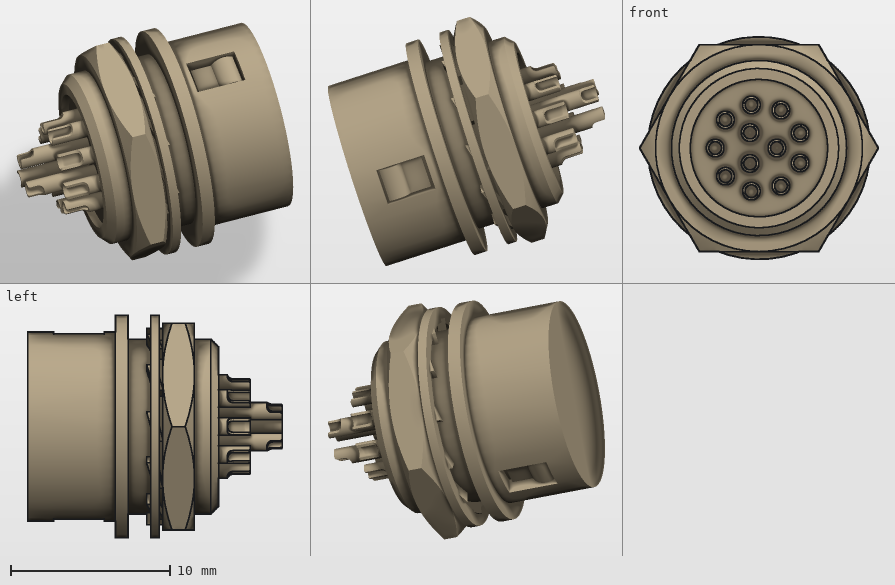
import cadquery as cq
import math


SHELL_DIAMETER = 11.9
SHELL_LENGTH = 5.5
FLANGE_DIAMETER = 14.0
FLANGE_THICKNESS = 0.8
SHELL_FRONT = FLANGE_THICKNESS + SHELL_LENGTH

BARREL_DIAMETER = 11.0
BARREL_LENGTH = 5.7
BARREL_CHAMFER = 0.5
RECESS_DIAMETER = 8.64
RECESS_DEPTH = 0.5

WINDOW_WIDTH = 2.34
WINDOW_LENGTH = 3.17
WINDOW_SETBACK = 1.63
WINDOW_FLOOR_RADIUS = 4.96
LATCH_WIDTH = 2.05
LATCH_LENGTH = 2.75
LATCH_SETBACK = 1.8
LATCH_FACE_HEIGHT = 5.17
LATCH_EMBED = 0.32
BUMP_LENGTH = 1.4
BUMP_RADIUS = 0.96
BUMP_REAR_ANGLE = 64.0

WASHER_DIAMETER = FLANGE_DIAMETER
WASHER_BORE = 12.0
WASHER_THICKNESS = 0.55
WASHER_OFFSET = 1.42
TOOTH_COUNT = 12
TOOTH_WIDTH = 1.85
TOOTH_RISE = 0.51
TOOTH_OUTER_REACH = 6.18
TOOTH_EMBED = 0.16
TOOTH_ROOT = BARREL_DIAMETER / 2 - TOOTH_EMBED

HEXAGON_SIDES = 6
NUT_ACROSS_FLATS = 13.0
NUT_THICKNESS = 2.0
NUT_OFFSET = 2.18
NUT_CHAMFER_ANGLE = 30.0

CONTACT_DIAMETER = 1.1
CUP_BORE_DIAMETER = 0.8
CUP_OPENING_DEPTH = 0.35
CUP_OPENING_FILLET = 0.38
CUP_TIP_FILLET = 0.13
CONTACT_EMBED = 0.32
OUTER_CONTACT_COUNT = 9
OUTER_CIRCLE_RADIUS = 2.75
OUTER_FIRST_ANGLE = 20.0
OUTER_CONTACT_LENGTH = 2.0
OUTER_CUP_LENGTH = 1.47
INNER_CONTACT_COUNT = 3
INNER_CIRCLE_RADIUS = 1.12
INNER_FIRST_ANGLE = 0.0
INNER_CONTACT_LENGTH = 4.0
INNER_CUP_LENGTH = 1.0


def disc(diameter, front, length):
    """Cylinder on the Y axis reaching from Y = front towards -Y."""
    return cq.Workplane("XZ", origin=(0, front, 0)).circle(diameter / 2).extrude(length)


def make_body():
    shell = disc(SHELL_DIAMETER, SHELL_FRONT, SHELL_LENGTH)
    flange = disc(FLANGE_DIAMETER, FLANGE_THICKNESS, FLANGE_THICKNESS)
    barrel = disc(BARREL_DIAMETER, 0, BARREL_LENGTH).faces("<Y").chamfer(BARREL_CHAMFER)
    recess = disc(RECESS_DIAMETER, RECESS_DEPTH - BARREL_LENGTH, RECESS_DEPTH)
    return shell.union(flange).union(barrel).cut(recess)


def make_window():
    """Opening through the top of the shell wall, with a round floor."""
    front = SHELL_FRONT - WINDOW_SETBACK
    block = cq.Workplane("XY").box(
        WINDOW_WIDTH, WINDOW_LENGTH, SHELL_DIAMETER / 2, centered=(True, False, False)
    )
    block = block.translate((0, front - WINDOW_LENGTH, 0))
    return block.cut(disc(2 * WINDOW_FLOOR_RADIUS, front, WINDOW_LENGTH))


def make_latch():
    """Spring latch inside the top window: a flat tongue with a round bump."""
    front = SHELL_FRONT - LATCH_SETBACK
    rear = front - LATCH_LENGTH
    bump_rear = front - BUMP_LENGTH
    root = WINDOW_FLOOR_RADIUS - LATCH_EMBED
    rear_angle = math.radians(BUMP_REAR_ANGLE)
    center_y = bump_rear + BUMP_RADIUS * math.sin(rear_angle)
    center_z = LATCH_FACE_HEIGHT - BUMP_RADIUS * math.cos(rear_angle)
    front_rise = math.sqrt(BUMP_RADIUS**2 - (front - center_y) ** 2)
    return (
        cq.Workplane("YZ", origin=(-LATCH_WIDTH / 2, 0, 0))
        .moveTo(front, root)
        .lineTo(rear, root)
        .lineTo(rear, LATCH_FACE_HEIGHT)
        .lineTo(bump_rear, LATCH_FACE_HEIGHT)
        .threePointArc((center_y, center_z + BUMP_RADIUS), (front, center_z + front_rise))
        .close()
        .extrude(LATCH_WIDTH)
    )


def make_washer():
    """Flat ring whose inner teeth are twisted out of its plane."""
    ring = disc(WASHER_DIAMETER, -WASHER_OFFSET, WASHER_THICKNESS)
    ring = ring.cut(disc(WASHER_BORE, -WASHER_OFFSET, WASHER_THICKNESS))
    half_width = TOOTH_WIDTH / 2
    high_edge = TOOTH_RISE / 2 - WASHER_OFFSET
    low_edge = -TOOTH_RISE / 2 - WASHER_OFFSET
    tooth = (
        cq.Workplane("XY", origin=(0, 0, TOOTH_ROOT))
        .polyline(
            [
                (half_width, high_edge),
                (half_width, high_edge - WASHER_THICKNESS),
                (-half_width, low_edge - WASHER_THICKNESS),
                (-half_width, low_edge),
            ]
        )
        .close()
        .extrude(TOOTH_OUTER_REACH - TOOTH_ROOT)
    )
    for index in range(TOOTH_COUNT):
        ring = ring.union(tooth.rotate((0, 0, 0), (0, 1, 0), index * 360 / TOOTH_COUNT))
    return ring


def make_nut():
    """Hexagon with corners on X, both faces turned down to the flats by a cone."""
    corner_radius = NUT_ACROSS_FLATS / 2 / math.cos(math.pi / HEXAGON_SIDES)
    flat_radius = NUT_ACROSS_FLATS / 2
    drop = (corner_radius - flat_radius) * math.tan(math.radians(NUT_CHAMFER_ANGLE))
    front = -NUT_OFFSET
    rear = front - NUT_THICKNESS
    hexagon = (
        cq.Workplane("XZ", origin=(0, front, 0))
        .polygon(HEXAGON_SIDES, 2 * corner_radius)
        .extrude(NUT_THICKNESS)
    )
    turned_blank = (
        cq.Workplane("XY")
        .polyline(
            [
                (0, front),
                (flat_radius, front),
                (corner_radius, front - drop),
                (corner_radius, rear + drop),
                (flat_radius, rear),
                (0, rear),
            ]
        )
        .close()
        .revolve(360, (0, 0, 0), (0, 1, 0))
    )
    return hexagon.intersect(turned_blank)


def make_contact(circle_radius, length, cup_length):
    """Contact on the +X side whose solder cup opens away from the connector axis.

    It is bored from the tip to the recess floor.
    """
    tip = -BARREL_LENGTH - length
    cup_start = tip + cup_length
    radius = CONTACT_DIAMETER / 2
    recess_floor = RECESS_DEPTH - BARREL_LENGTH
    root = recess_floor + CONTACT_EMBED
    pin = disc(CONTACT_DIAMETER, root, root - tip)
    bore = disc(CUP_BORE_DIAMETER, recess_floor, recess_floor - tip)

    floor = radius - CUP_OPENING_DEPTH
    outside = floor + CUP_OPENING_FILLET
    below_tip = tip - CUP_TIP_FILLET
    diagonal = math.sqrt(0.5)
    opening = (
        cq.Workplane("XY", origin=(0, 0, -radius))
        .moveTo(outside, cup_start)
        .threePointArc(
            (
                outside - CUP_OPENING_FILLET * diagonal,
                cup_start - CUP_OPENING_FILLET * (1 - diagonal),
            ),
            (floor, cup_start - CUP_OPENING_FILLET),
        )
        .lineTo(floor, tip + CUP_TIP_FILLET)
        .threePointArc(
            (
                floor - CUP_TIP_FILLET * (1 - diagonal),
                tip + CUP_TIP_FILLET * (1 - diagonal),
            ),
            (floor - CUP_TIP_FILLET, tip),
        )
        .lineTo(floor - CUP_TIP_FILLET, below_tip)
        .lineTo(outside, below_tip)
        .close()
        .extrude(CONTACT_DIAMETER)
    )
    return pin.cut(bore).cut(opening).translate((circle_radius, 0, 0))


def ring_of_contacts(contact, count, first_angle):
    """Copies of a +X contact, evenly spaced about the Y axis."""
    angles = [first_angle + index * 360 / count for index in range(count)]
    return [contact.rotate((0, 0, 0), (0, 1, 0), angle) for angle in angles]


window = make_window()
latch = make_latch()
outer_contact = make_contact(OUTER_CIRCLE_RADIUS, OUTER_CONTACT_LENGTH, OUTER_CUP_LENGTH)
inner_contact = make_contact(INNER_CIRCLE_RADIUS, INNER_CONTACT_LENGTH, INNER_CUP_LENGTH)

result = make_body()
for turn in (0, 180):
    result = result.cut(window.rotate((0, 0, 0), (0, 1, 0), turn))
    result = result.union(latch.rotate((0, 0, 0), (0, 1, 0), turn))
result = result.union(make_washer()).union(make_nut())
for pin in ring_of_contacts(outer_contact, OUTER_CONTACT_COUNT, OUTER_FIRST_ANGLE):
    result = result.union(pin)
for pin in ring_of_contacts(inner_contact, INNER_CONTACT_COUNT, INNER_FIRST_ANGLE):
    result = result.union(pin)